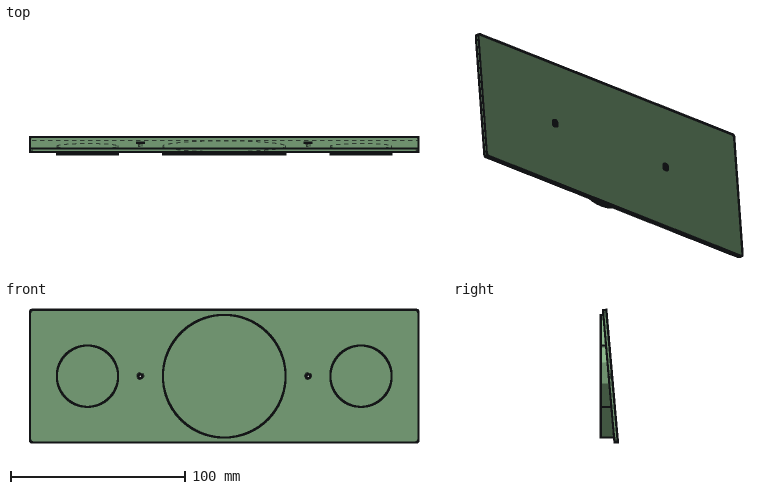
import cadquery as cq
import math

plate_length = 223.1
overall_depth = 10.0
overall_height = 76.3
plate_thickness = 2.0
tilt_angle = 5.0
corner_radius = 1.5

large_disc_diameter = 70.5
small_disc_diameter = 35.3
small_disc_offset = 78.5

hole_diameter = 2.2
hole_offset = 48.2
countersink_diameter = 4.0
countersink_angle = 90.0

tilt = math.radians(tilt_angle)
plate_width = (overall_height - plate_thickness * math.sin(tilt)) / math.cos(tilt)
plate_depth = plate_width * math.sin(tilt) + plate_thickness * math.cos(tilt)

disc_face_y = plate_depth / 2 - overall_depth


def make_plate():
    """Round-cornered plate with screw holes countersunk from the back, then tilted about X."""
    plate = (
        cq.Workplane("XY")
        .box(plate_length, plate_width, plate_thickness)
        .edges("|Z")
        .fillet(corner_radius)
        .faces("<Z")
        .workplane()
        .pushPoints([(-hole_offset, 0), (hole_offset, 0)])
        .cskHole(hole_diameter, countersink_diameter, countersink_angle)
    )
    return plate.rotate((0, 0, 0), (1, 0, 0), 90 + tilt_angle)


def make_disc(center_x, diameter):
    """Disc along Y with an upright face, ending on the sloping mid-plane of the plate."""
    disc = (
        cq.Workplane("XZ", origin=(center_x, disc_face_y, 0))
        .circle(diameter / 2)
        .extrude(-overall_depth)
    )
    behind_plate = (
        cq.Workplane("XY")
        .box(plate_length, 2 * plate_width, plate_width)
        .translate((0, 0, -plate_width / 2))
        .rotate((0, 0, 0), (1, 0, 0), 90 + tilt_angle)
    )
    return disc.cut(behind_plate)


result = make_plate()
for center_x, diameter in (
    (-small_disc_offset, small_disc_diameter),
    (0, large_disc_diameter),
    (small_disc_offset, small_disc_diameter),
):
    result = result.union(make_disc(center_x, diameter))